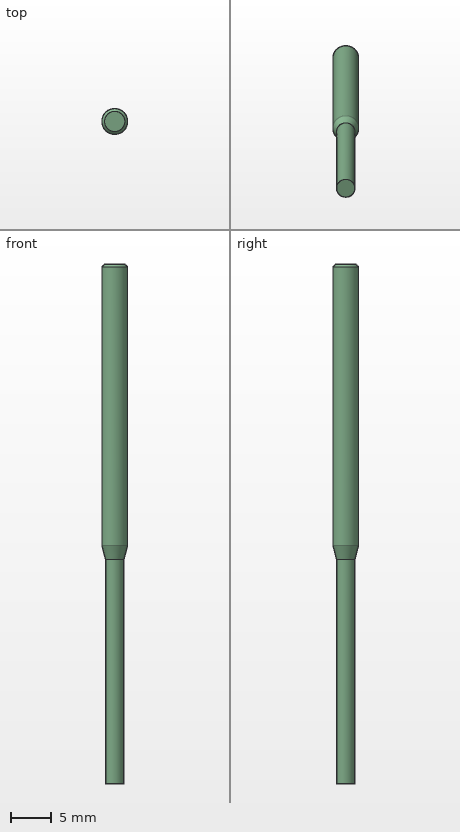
import cadquery as cq

overall_length = 63.5
shank_diameter = 3.175
tip_diameter = 2.26
tip_length = 27.4
taper_length = 1.7
chamfer_size = 0.35

shank_radius = shank_diameter / 2
tip_radius = tip_diameter / 2
taper_top = tip_length + taper_length
chamfer_base = overall_length - chamfer_size
end_face_radius = shank_radius - chamfer_size


def make_tip():
    """Plain thin cylinder that ends against the small end of the shank's taper."""
    return cq.Workplane("XY").circle(tip_radius).extrude(tip_length)


def make_shank():
    """Full-diameter rod, tapered down to the tip at its base and bevelled at its top."""
    return (
        cq.Workplane("XZ")
        .moveTo(0, tip_length)
        .lineTo(tip_radius, tip_length)
        .lineTo(shank_radius, taper_top)
        .lineTo(shank_radius, chamfer_base)
        .lineTo(end_face_radius, overall_length)
        .lineTo(0, overall_length)
        .close()
        .revolve(360, (0, 0), (0, 1))
    )


tip = make_tip()
shank = make_shank()

result = cq.Compound.makeCompound([tip.val(), shank.val()])